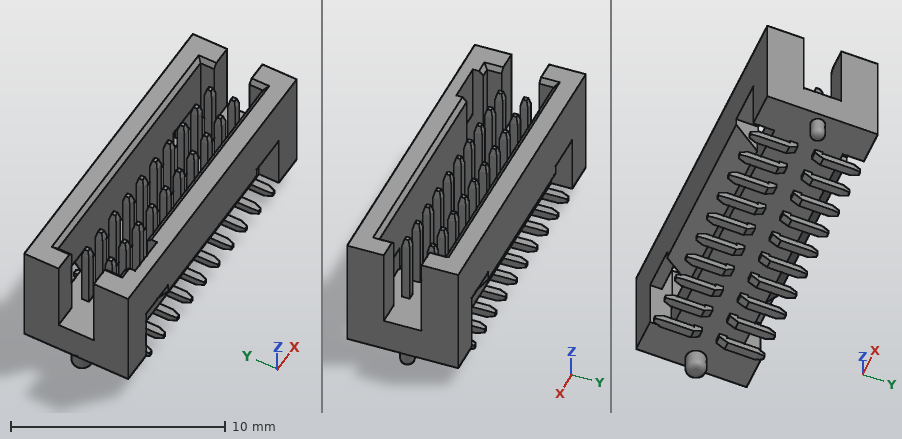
import cadquery as cq


body_length = 15.7
body_width = 5.6
body_height = 5.7
floor_height = 1.7
cavity_length = 13.25
cavity_width = 3.36
cavity_chamfer = 0.22
end_slot_width = 1.9

recess_length = 12.34
recess_depth = 1.07
recess_top = 2.98
brace_length = 8.26
brace_top = 2.55
brace_bottom = 0.99

notch_outer_wall = 0.6

columns = 10
column_span = 11.43
pitch = column_span / (columns - 1)
pin_size = 0.4
tip_size = 0.2
pin_top = 5.17
pin_taper = 0.38
lead_top = -0.11
lead_end = 2.78
lead_taper = 0.38
bend_rise = 0.27
bend_end = 0.86

peg_length = 1.0
peg_fillet = 0.3
large_peg_diameter = 1.0
large_peg_x = -7.3
small_peg_diameter = 0.7
small_peg_x = 7.25


def block(length, width, z_bottom, z_top):
    """Box centred on the Z axis between two heights."""
    return (
        cq.Workplane("XY")
        .workplane(offset=z_bottom)
        .rect(length, width)
        .extrude(z_top - z_bottom)
    )


def side_recess():
    """Front wall cutter: a full-height recess at each end, sloped along the brace."""
    wall_front = -body_width / 2
    recess_back = wall_front + recess_depth
    cavity_front = -cavity_width / 2

    lower = block(recess_length, recess_depth, 0, floor_height)
    lower = lower.translate((0, wall_front + recess_depth / 2, 0))
    window_depth = cavity_front - wall_front
    window = block(recess_length, window_depth, floor_height, recess_top)
    window = window.translate((0, wall_front + window_depth / 2, 0))

    brace = (
        cq.Workplane("YZ")
        .moveTo(wall_front, recess_top)
        .lineTo(wall_front, brace_top)
        .lineTo(recess_back, brace_bottom)
        .lineTo(recess_back, floor_height)
        .lineTo(cavity_front, floor_height)
        .lineTo(cavity_front, recess_top)
        .close()
        .extrude(brace_length / 2, both=True)
    )
    return lower.union(window).cut(brace)


def polarising_notch():
    """Channel in the cavity face of the front wall, from the left window to the rim."""
    length = (recess_length - brace_length) / 2
    depth = (body_width - cavity_width) / 2 - notch_outer_wall
    center_x = -(recess_length + brace_length) / 4
    center_y = -(cavity_width + depth) / 2
    return block(length, depth, floor_height, body_height).translate((center_x, center_y, 0))


def make_body():
    shell = block(body_length, body_width, 0, body_height)
    cavity = block(cavity_length, cavity_width, floor_height, body_height)
    rim_chamfer = (
        cq.Workplane("XY")
        .workplane(offset=body_height - cavity_chamfer)
        .rect(cavity_length, cavity_width)
        .workplane(offset=cavity_chamfer)
        .rect(cavity_length + 2 * cavity_chamfer, cavity_width + 2 * cavity_chamfer)
        .loft(combine=True)
    )
    end_slots = block(body_length, end_slot_width, floor_height, body_height)
    recess = side_recess()
    return (
        shell.cut(cavity)
        .cut(rim_chamfer)
        .cut(end_slots)
        .cut(recess)
        .cut(recess.mirror("XZ"))
        .cut(polarising_notch())
    )


def tapered_tip(base_plane, length):
    """Square tip that narrows away from the base plane."""
    return (
        cq.Workplane(base_plane)
        .rect(pin_size, pin_size)
        .workplane(offset=length)
        .rect(tip_size, tip_size)
        .loft(combine=True)
    )


def make_contact():
    """Back-row contact at X = 0: upright pin bent outward into a surface-mount lead."""
    inner_y = (pitch - pin_size) / 2
    outer_y = inner_y + pin_size
    shoulder_z = pin_top - pin_taper
    shoulder_y = lead_end - lead_taper
    lead_bottom = lead_top - pin_size
    stem = (
        cq.Workplane("YZ")
        .moveTo(inner_y, shoulder_z)
        .lineTo(outer_y, shoulder_z)
        .lineTo(outer_y, lead_top)
        .lineTo(shoulder_y, lead_top)
        .lineTo(shoulder_y, lead_bottom)
        .lineTo(bend_end, lead_bottom)
        .lineTo(inner_y, lead_bottom + bend_rise)
        .close()
        .extrude(pin_size / 2, both=True)
    )
    top_plane = cq.Plane(origin=(0, pitch / 2, shoulder_z), xDir=(1, 0, 0), normal=(0, 0, 1))
    end_plane = cq.Plane(
        origin=(0, shoulder_y, lead_top - pin_size / 2), xDir=(1, 0, 0), normal=(0, 1, 0)
    )
    return stem.union(tapered_tip(top_plane, pin_taper)).union(tapered_tip(end_plane, lead_taper))


def make_peg(diameter, x):
    peg = cq.Workplane("XY").circle(diameter / 2).extrude(-peg_length)
    return peg.faces("<Z").edges().fillet(peg_fillet).translate((x, 0, 0))


result = make_body()

back_contact = make_contact()
front_contact = back_contact.mirror("XZ")
for column in range(columns):
    x = column * pitch - column_span / 2
    result = result.union(back_contact.translate((x, 0, 0)))
    result = result.union(front_contact.translate((x, 0, 0)))

result = result.union(make_peg(large_peg_diameter, large_peg_x))
result = result.union(make_peg(small_peg_diameter, small_peg_x))